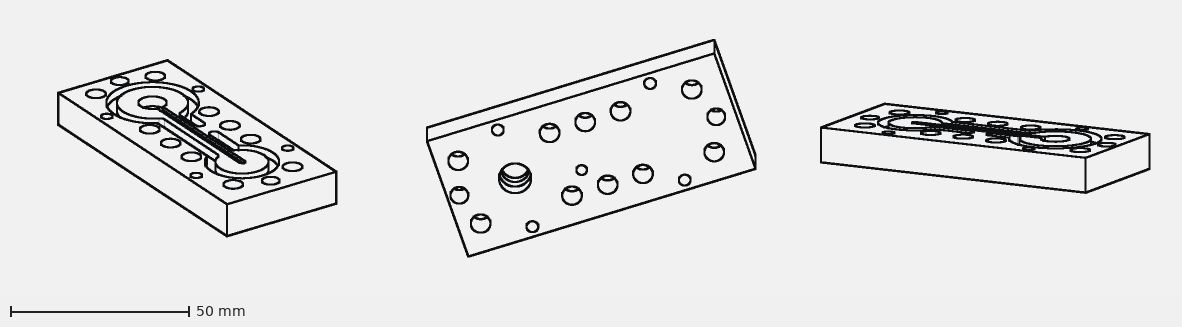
import cadquery as cq

length = 85.0
width = 37.0
thickness = 10.0

center_x = 22.5
groove_width = 3.0
groove_depth = 2.55
left_ring_radius = 10.0
right_ring_radius = 7.5
lower_run_y = -4.6
upper_run_y = 3.5
upper_run_left_end = -4.0
upper_run_right_end = 3.4
island_fillet = 1.5

channel_width = 1.9
channel_depth = 1.0
port_diameter = 8.0
port_undercut_diameter = 11.0
port_lower_diameter = 9.0
port_undercut_top = 3.1
port_undercut_bottom = 5.1

bolt_diameter = 5.5
bolt_y = 10.0
bolt_xs = (-36.0, -9.0, 1.5, 12.0, 33.1)
dowel_diameter = 5.0
dowel_xs = (-39.0, 37.0)
pin_diameter = 3.3
pin_y = 15.5
drain_diameter = groove_width


def cylinder_down(x, y, diameter, depth):
    """Vertical cylinder reaching down from the top face."""
    return cq.Workplane("XY").center(x, y).circle(diameter / 2).extrude(-depth)


def bar_down(x_start, x_end, y, bar_width, depth):
    """Straight bar along X reaching down from the top face."""
    bar_length = x_end - x_start
    return (
        cq.Workplane("XY")
        .center((x_start + x_end) / 2, y)
        .rect(bar_length, bar_width)
        .extrude(-depth)
    )


def make_groove():
    """Groove volume: the outer envelope less a filleted dumbbell island."""
    half_groove = groove_width / 2
    lower_inner = lower_run_y + half_groove
    upper_inner = upper_run_y - half_groove
    neck_height = upper_inner - lower_inner
    neck_y = (upper_inner + lower_inner) / 2

    island = bar_down(-center_x, center_x, neck_y, neck_height, groove_depth)
    envelope = bar_down(
        -center_x, center_x, neck_y, neck_height + 2 * groove_width, groove_depth
    )
    for x, radius in ((-center_x, left_ring_radius), (center_x, right_ring_radius)):
        island = island.union(cylinder_down(x, 0, 2 * radius, groove_depth))
        outer_diameter = 2 * (radius + groove_width)
        envelope = envelope.union(cylinder_down(x, 0, outer_diameter, groove_depth))

    neck_corners = cq.selectors.BoxSelector(
        (-center_x, -width, -thickness), (center_x, width, thickness)
    )
    island = island.edges("|Z").edges(neck_corners).fillet(island_fillet)

    land = bar_down(
        upper_run_left_end, upper_run_right_end, upper_run_y, groove_width, groove_depth
    )
    for x in (upper_run_left_end, upper_run_right_end):
        land = land.cut(cylinder_down(x, upper_run_y, groove_width, groove_depth))
    return envelope.cut(island).cut(land)


def make_port():
    """Stepped through port with an internal ring undercut, its steps given as depths."""
    undercut_height = port_undercut_bottom - port_undercut_top
    undercut = cylinder_down(-center_x, 0, port_undercut_diameter, undercut_height)
    undercut = undercut.translate((0, 0, -port_undercut_top))
    lower_height = thickness - port_undercut_bottom
    lower_bore = cylinder_down(-center_x, 0, port_lower_diameter, lower_height)
    lower_bore = lower_bore.translate((0, 0, -port_undercut_bottom))
    upper_bore = cylinder_down(-center_x, 0, port_diameter, port_undercut_top)
    return upper_bore.union(undercut).union(lower_bore)


def make_channel():
    """Shallow round-ended channel from the port to the right ring centre."""
    straight = bar_down(-center_x, center_x, 0, channel_width, channel_depth)
    return straight.union(cylinder_down(center_x, 0, channel_width, channel_depth))


plate = cq.Workplane("XY").box(length, width, thickness, centered=(True, True, False))
plate = plate.translate((0, 0, -thickness))
for cavity in (make_groove(), make_channel(), make_port()):
    plate = plate.cut(cavity)

holes = [(x, 0, dowel_diameter) for x in dowel_xs]
holes.append((upper_run_left_end, upper_run_y, drain_diameter))
for side in (-1, 1):
    holes += [(x, side * bolt_y, bolt_diameter) for x in bolt_xs]
    holes += [(x, side * pin_y, pin_diameter) for x in (-center_x, center_x)]
for x, y, diameter in holes:
    plate = plate.cut(cylinder_down(x, y, diameter, thickness))

result = plate